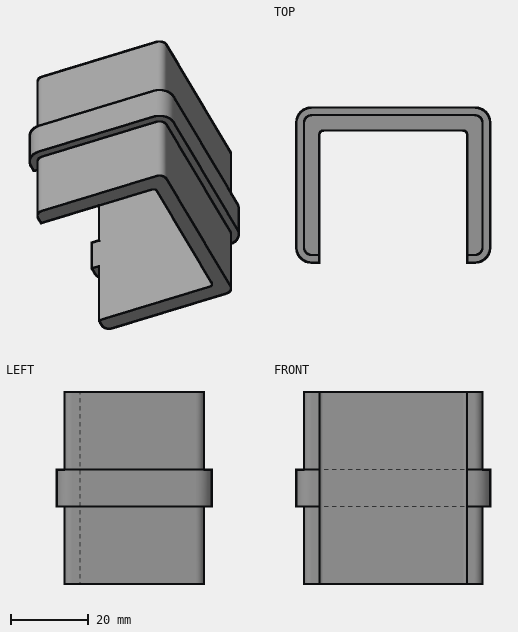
import cadquery as cq

band_width = 50.0
band_depth = 40.0
band_height = 9.5
band_corner_radius = 4.0
band_projection = 2.0
sleeve_length = 20.0
wall = 4.0
inner_corner_radius = 1.0

sleeve_width = band_width - 2 * band_projection
sleeve_depth = band_depth - 2 * band_projection
sleeve_corner_radius = band_corner_radius - band_projection
total_height = band_height + 2 * sleeve_length
channel_width = sleeve_width - 2 * wall
channel_back = sleeve_depth / 2 - wall
channel_depth = channel_back + band_depth / 2


def rounded_block(width, depth, height, radius):
    """Centred block with rounded vertical edges."""
    return cq.Workplane("XY").box(width, depth, height).edges("|Z").fillet(radius)


def channel():
    """Full-height opening through the -Y side, rounded at its two back corners."""
    return (
        cq.Workplane("XY")
        .box(channel_width, channel_depth, total_height)
        .edges("|Z and >Y")
        .fillet(inner_corner_radius)
        .translate((0, channel_back - channel_depth / 2, 0))
    )


sleeve = rounded_block(sleeve_width, sleeve_depth, total_height, sleeve_corner_radius)
band = rounded_block(band_width, band_depth, band_height, band_corner_radius)

result = sleeve.union(band).cut(channel())